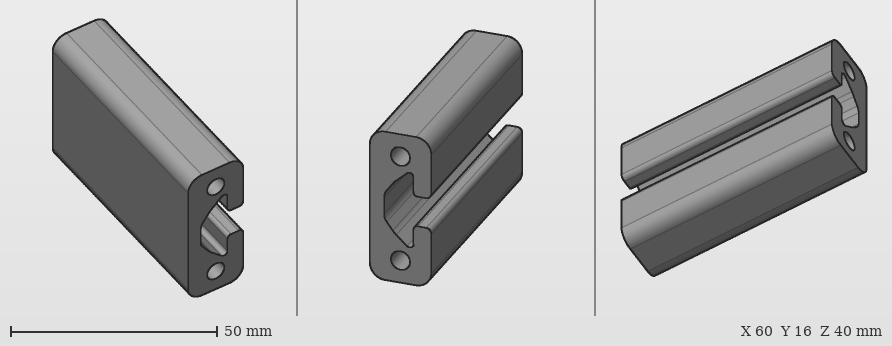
import cadquery as cq

length = 60.0
depth = 16.0
height = 40.0
corner_radius = 4.0

channel_diameter = 5.0
channel_spacing = 28.0

slot_opening = 8.0
lip_thickness = 4.6
slot_depth = 12.3
tip_half_height = 11.35
bend_depth = 9.65
bend_half_height = 6.8
floor_half_height = 3.3

lip_outer_radius = 1.4
lip_inner_radius = 1.0
tip_radius = 1.0
bend_radius = 7.2
floor_radius = 3.3

front_y = depth / 2
lip_y = front_y - lip_thickness
bend_y = front_y - bend_depth
floor_y = front_y - slot_depth
opening_half = slot_opening / 2


def round_edges(body, y, half_height, radius):
    """Round the mirrored pair of lengthwise edges at the given profile point."""
    tolerance = 0.05
    for z in (-half_height, half_height):
        near_edge = cq.selectors.BoxSelector(
            (-tolerance, y - tolerance, z - tolerance),
            (tolerance, y + tolerance, z + tolerance),
        )
        body = body.edges(near_edge).fillet(radius)
    return body


def make_bar():
    bar = cq.Workplane("XY").box(length, depth, height)
    return bar.edges("|X").fillet(corner_radius)


def make_slot():
    upper_half = [
        (front_y, opening_half),
        (lip_y, opening_half),
        (lip_y, tip_half_height),
        (bend_y, bend_half_height),
        (floor_y, floor_half_height),
    ]
    lower_half = [(y, -z) for y, z in reversed(upper_half)]
    profile = cq.Workplane("YZ").polyline(upper_half + lower_half).close()
    return profile.extrude(length / 2, both=True)


def make_channels():
    centres = [(0, -channel_spacing / 2), (0, channel_spacing / 2)]
    circles = cq.Workplane("YZ").pushPoints(centres).circle(channel_diameter / 2)
    return circles.extrude(length / 2, both=True)


result = make_bar().cut(make_slot()).cut(make_channels())

slot_roundings = [
    (front_y, opening_half, lip_outer_radius),
    (lip_y, opening_half, lip_inner_radius),
    (lip_y, tip_half_height, tip_radius),
    (bend_y, bend_half_height, bend_radius),
    (floor_y, floor_half_height, floor_radius),
]
for edge_y, edge_half_height, edge_radius in slot_roundings:
    result = round_edges(result, edge_y, edge_half_height, edge_radius)